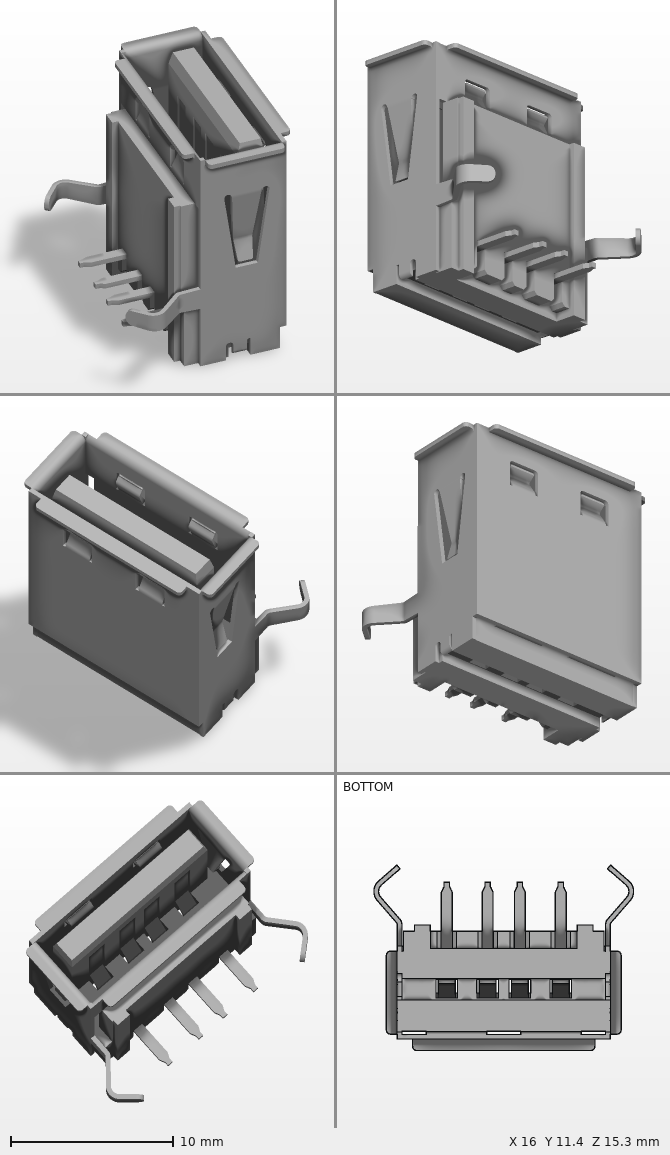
import cadquery as cq
import math


SHEET = 0.3
TOP_Z = 15.26
SHELL_HALF_X = 6.56
SHELL_HALF_Y = 2.86
INNER_HALF_X = SHELL_HALF_X - SHEET
INNER_HALF_Y = SHELL_HALF_Y - SHEET
BACK_WALL_BOTTOM_Z = 1.55
SIDE_WALL_STEP_Y = 2.42

LIP_REACH_X = 7.23
BACK_LIP_REACH_Y = 3.57
FRONT_LIP_REACH_Y = 3.62
LIP_HALF_X = 5.62
LIP_CORNER = 0.27
BEND_INNER = 0.48
BEND_OUTER = BEND_INNER - SHEET

SPRING_Y = 0.22
SPRING_TOP_Z = 12.16
SPRING_BEND_Z = 12.05
SPRING_KINK_Z = 8.38
SPRING_END_Z = 6.96
SPRING_HALF_TOP = 1.0
SPRING_HALF_END = 0.5
SPRING_KINK_DEPTH = 0.67
SPRING_END_DEPTH = 0.2
SPRING_KINK_ROUND = 0.35
SPRING_BEND_ROUND = 1.04
SPRING_END_ROUND = 0.13
SLOT_BOTTOM_Z = 6.72
SLOT_ROUND_Z = 12.03
SLOT_ROUND = 0.24
SLOT_HALF_TOP = 1.5
SLOT_HALF_BOTTOM = 0.74

LATCH_X = 2.8
LATCH_WINDOW_HALF = 1.12
LATCH_WINDOW_TOP_Z = 13.58
LATCH_ROOT_Z = 11.8
LATCH_HALF = 0.91
LATCH_BEND_Z = 11.95
LATCH_KINK_Z = 12.93
LATCH_FLAT_Z = 13.31
LATCH_TIP_Z = 13.44
LATCH_BEND_ROUND = 0.48
LATCH_KINK_ROUND = 0.16
LATCH_TIP_ROUND = 0.11
LATCH_SHEET = 0.18
FRONT_LATCH_DEPTH = 0.34
BACK_LATCH_DEPTH = 0.51

CRIMP_Y = -0.22
CRIMP_HALF = 0.45
CRIMP_RELIEF_FRONT_Y = -1.17
CRIMP_RELIEF_BACK_Y = 0.46
CRIMP_RELIEF_Z = 1.25
CRIMP_BEND_Z = 0.62
CRIMP_BOTTOM_Z = 0.29
CRIMP_CURL = 0.29
CRIMP_SLOT_ROUND = 0.24

CLIP_Z = 5.0
CLIP_HALF_ROOT = 0.74
CLIP_HALF_TIP = 0.53
CLIP_STRAIGHT_Y = -4.25
CLIP_APEX_X = 8.0
CLIP_TIP_Y = -7.85
CLIP_SPREAD = math.radians(41)
CLIP_BEND_OUTER = 0.85
CLIP_FIRST_BEND = 0.24
CLIP_TIP_ROUND = 0.48

BASE_TOP_Z = 5.09
BASE_BACK_Y = 2.38
PAD_X = 2.91
PAD_HALF = 1.87
PAD_TOP_Z = 4.0
PLATE_TOP_Z = 11.52
PLATE_HALF_X = 5.62
PLATE_FRONT_Y = -3.8
FOOT_HALF_X = 6.18
RIB_INNER_X = 4.51
RIB_OUTER_X = 5.5
RIB_FRONT_Y = -4.18
CHANNEL_FRONT_Y = -0.86
CHANNEL_TOP_Z = 0.69

TONGUE_HALF_X = 5.57
TONGUE_FRONT_Y = 0.02
TONGUE_BACK_Y = 1.78
TONGUE_TOP_Z = 15.05
TONGUE_TAPER_Z = 14.2
TONGUE_TAPER_SIDE = 0.18
TONGUE_TAPER_FRONT = 0.2
TONGUE_TAPER_BACK = 0.15

CONTACT_XS = (-3.5, -1.0, 1.0, 3.5)
CONTACT_WIDTH = 1.05
CONTACT_SLOT_WIDTH = 1.31
CONTACT_SLOT_FRONT_Y = -0.8
CONTACT_SLOT_TOP_Z = 12.67
CONTACT_SHEET = 0.24
CONTACT_RECESS = 0.08
CONTACT_BOW_Z = 6.08
CONTACT_SHOULDER_Y = -0.67
CONTACT_SHOULDER_Z = 4.8
CONTACT_FOOT_Z = 4.32
PIN_Z = 2.3
PIN_THICKNESS = 0.34
PIN_WIDTH = 0.69
PIN_TIP_WIDTH = 0.35
PIN_TAPER_START_Y = -6.18
PIN_TAPER_END_Y = -6.53
PIN_END_Y = -6.8
PIN_SLOT_WIDTH = 0.72
PIN_SLOT_TOP_Z = 2.53
PLATE_NOTCH_BACK_Y = -2.72
PLATE_NOTCH_Z = 0.56
PLATE_NOTCH_CHAMFER = 0.24


def block(x0, x1, y0, y1, z0, z1):
    """Box between two corners."""
    return cq.Workplane("XY").box(x1 - x0, y1 - y0, z1 - z0, centered=False).translate((x0, y0, z0))


def slab_x(outline, x0, x1):
    """Extrude a closed (y, z) outline from x0 to x1."""
    return cq.Workplane("YZ").workplane(offset=x0).polyline(outline).close().extrude(x1 - x0)


def slab_y(outline, y0, y1):
    """Extrude a closed (x, z) outline from y0 to y1."""
    return cq.Workplane("XZ").workplane(offset=-y1).polyline(outline).close().extrude(y1 - y0)


def round_edge(body, point, radius):
    """Fillet the edge whose middle lies nearest to the point."""
    return body.edges(cq.selectors.NearestToPointSelector(point)).fillet(radius)


def both_sides(body):
    """Join a body with its mirror image across X = 0."""
    return body.union(body.mirror("YZ"))


def lip_bend(half_length):
    """Material to cut and to add for a rounded bend along X, with the wall's inner face on Y = 0."""
    centre_y = -BEND_INNER
    centre_z = TOP_Z - BEND_INNER
    rod = cq.Workplane("YZ").workplane(offset=-half_length).center(centre_y, centre_z)
    outer_rod = rod.circle(BEND_INNER).extrude(2 * half_length)
    inner_rod = rod.circle(BEND_OUTER).extrude(2 * half_length)
    cut = block(-half_length, half_length, centre_y, 0, centre_z, TOP_Z).cut(outer_rod)
    web = block(-half_length, half_length, centre_y, -SHEET, centre_z, TOP_Z - SHEET).cut(inner_rod)
    return cut, web


def walls_and_lips():
    shell = block(-SHELL_HALF_X, SHELL_HALF_X, -SHELL_HALF_Y, SHELL_HALF_Y, 0, TOP_Z)
    lip_z = TOP_Z - SHEET
    side_lip = block(-LIP_REACH_X, LIP_REACH_X, -INNER_HALF_Y, INNER_HALF_Y, lip_z, TOP_Z)
    cross_lip = block(-LIP_HALF_X, LIP_HALF_X, -FRONT_LIP_REACH_Y, BACK_LIP_REACH_Y, lip_z, TOP_Z)
    for lip in (side_lip, cross_lip):
        shell = shell.union(lip.edges("|Z").fillet(LIP_CORNER))
    shell = shell.cut(block(-INNER_HALF_X, INNER_HALF_X, -INNER_HALF_Y, INNER_HALF_Y, 0, TOP_Z))

    front_cut = lip_bend(INNER_HALF_X)[0].translate((0, -INNER_HALF_Y, 0))
    front_web = lip_bend(LIP_HALF_X)[1].translate((0, -INNER_HALF_Y, 0))
    shell = shell.union(front_web).cut(front_cut)
    side_cut, side_web = lip_bend(INNER_HALF_Y)
    for turn, offset in ((90, INNER_HALF_X), (-90, -INNER_HALF_X)):
        web = side_web.rotate((0, 0, 0), (0, 0, 1), turn).translate((offset, 0, 0))
        cut = side_cut.rotate((0, 0, 0), (0, 0, 1), turn).translate((offset, 0, 0))
        shell = shell.union(web).cut(cut)

    shell = shell.cut(block(-INNER_HALF_X, INNER_HALF_X, -SHELL_HALF_Y, -INNER_HALF_Y, 0, PLATE_TOP_Z))
    return shell.cut(
        block(-SHELL_HALF_X, SHELL_HALF_X, SIDE_WALL_STEP_Y, SHELL_HALF_Y, 0, BACK_WALL_BOTTOM_Z)
    )


def side_spring_slot():
    """Tapered opening in the -X wall with a round relief at each upper corner."""
    x0, x1 = -SHELL_HALF_X, -INNER_HALF_X
    slot = slab_x(
        [
            (SPRING_Y - SLOT_HALF_TOP, SLOT_ROUND_Z),
            (SPRING_Y - SLOT_HALF_BOTTOM, SLOT_BOTTOM_Z),
            (SPRING_Y + SLOT_HALF_BOTTOM, SLOT_BOTTOM_Z),
            (SPRING_Y + SLOT_HALF_TOP, SLOT_ROUND_Z),
        ],
        x0,
        x1,
    )
    slot = slot.union(
        block(x0, x1, SPRING_Y - SPRING_HALF_TOP, SPRING_Y + SPRING_HALF_TOP, SLOT_ROUND_Z, SPRING_TOP_Z)
    )
    for side in (-1, 1):
        y = SPRING_Y + side * (SLOT_HALF_TOP - SLOT_ROUND)
        relief = cq.Workplane("YZ").workplane(offset=x0).center(y, SLOT_ROUND_Z)
        slot = slot.union(relief.circle(SLOT_ROUND).extrude(SHEET))
    return slot


def side_spring():
    """Leaf of the -X wall, bent inward to a kink and back out to its free end."""
    outer = [
        (-SHELL_HALF_X, SPRING_TOP_Z),
        (-SHELL_HALF_X, SPRING_BEND_Z),
        (-SHELL_HALF_X + SPRING_KINK_DEPTH, SPRING_KINK_Z),
        (-SHELL_HALF_X + SPRING_END_DEPTH, SPRING_END_Z),
    ]
    inner = [(x + SHEET, z) for x, z in reversed(outer)]
    leaf = slab_y(outer + inner, SPRING_Y - SPRING_HALF_TOP, SPRING_Y + SPRING_HALF_TOP)
    leaf = round_edge(leaf, (-SHELL_HALF_X, SPRING_Y, SPRING_BEND_Z), SPRING_BEND_ROUND)
    leaf = round_edge(leaf, (-INNER_HALF_X, SPRING_Y, SPRING_BEND_Z), SPRING_BEND_ROUND - SHEET)
    kink_x = -SHELL_HALF_X + SPRING_KINK_DEPTH
    leaf = round_edge(leaf, (kink_x, SPRING_Y, SPRING_KINK_Z), SPRING_KINK_ROUND)
    leaf = round_edge(leaf, (kink_x + SHEET, SPRING_Y, SPRING_KINK_Z), SPRING_KINK_ROUND + SHEET)
    taper = slab_x(
        [
            (SPRING_Y - SPRING_HALF_TOP, SPRING_TOP_Z),
            (SPRING_Y - SPRING_HALF_END, SPRING_END_Z),
            (SPRING_Y + SPRING_HALF_END, SPRING_END_Z),
            (SPRING_Y + SPRING_HALF_TOP, SPRING_TOP_Z),
        ],
        -SHELL_HALF_X,
        0,
    )
    return leaf.intersect(taper.edges("|X and <Z").fillet(SPRING_END_ROUND))


def latch_window():
    """Opening for one latch tab, cut through the front wall at X = 0."""
    window = block(
        -LATCH_WINDOW_HALF, LATCH_WINDOW_HALF, -SHELL_HALF_Y, -INNER_HALF_Y, LATCH_ROOT_Z, LATCH_WINDOW_TOP_Z
    )
    return window.edges("|Y and >Z").fillet(SLOT_ROUND)


def latch_tab(depth):
    """Tab of the front wall at X = 0, bent inward by the given depth and back toward the wall."""
    kink_y = -INNER_HALF_Y + depth
    wall_y = -INNER_HALF_Y - SHEET / 2
    inner = [
        (-INNER_HALF_Y, LATCH_ROOT_Z),
        (-INNER_HALF_Y, LATCH_BEND_Z),
        (kink_y, LATCH_KINK_Z),
        (wall_y + LATCH_SHEET, LATCH_FLAT_Z),
        (wall_y + LATCH_SHEET, LATCH_TIP_Z),
    ]
    outer = [
        (wall_y, LATCH_TIP_Z),
        (wall_y, LATCH_FLAT_Z),
        (kink_y - LATCH_SHEET, LATCH_KINK_Z),
        (-SHELL_HALF_Y, LATCH_BEND_Z),
        (-SHELL_HALF_Y, LATCH_ROOT_Z),
    ]
    tab = slab_x(inner + outer, -LATCH_HALF, LATCH_HALF)
    tab = round_edge(tab, (0, -SHELL_HALF_Y, LATCH_BEND_Z), LATCH_BEND_ROUND)
    tab = round_edge(tab, (0, kink_y - LATCH_SHEET, LATCH_KINK_Z), LATCH_KINK_ROUND)
    tab = round_edge(tab, (0, kink_y, LATCH_KINK_Z), LATCH_KINK_ROUND + LATCH_SHEET)
    return tab.edges("|Y and >Z").fillet(LATCH_TIP_ROUND)


def add_latches(shell):
    for turn, depth in ((0, FRONT_LATCH_DEPTH), (180, BACK_LATCH_DEPTH)):
        for x in (-LATCH_X, LATCH_X):
            window = latch_window().translate((x, 0, 0)).rotate((0, 0, 0), (0, 0, 1), turn)
            tab = latch_tab(depth).translate((x, 0, 0)).rotate((0, 0, 0), (0, 0, 1), turn)
            shell = shell.cut(window).union(tab)
    return shell


def crimp_relief():
    """Two slots at the bottom of the -X wall with the crimp tab, curled inward, between them."""
    x0, x1 = -SHELL_HALF_X, -INNER_HALF_X
    tab_front_y, tab_back_y = CRIMP_Y - CRIMP_HALF, CRIMP_Y + CRIMP_HALF
    front_slot = block(x0, x1, CRIMP_RELIEF_FRONT_Y, tab_front_y, 0, CRIMP_RELIEF_Z)
    front_slot = front_slot.edges("|X and >Z").fillet(CRIMP_SLOT_ROUND)
    back_slot = block(x0, x1, tab_back_y, CRIMP_RELIEF_BACK_Y, 0, CRIMP_RELIEF_Z)
    back_slot = back_slot.edges("|X and >Z and <Y").fillet(CRIMP_SLOT_ROUND / 2)
    gap = block(x0, x1, tab_front_y, tab_back_y, 0, CRIMP_BEND_Z)
    curl = block(x0, x1, tab_front_y, tab_back_y, CRIMP_BOTTOM_Z, CRIMP_BEND_Z)
    curl = curl.edges("|Y and <Z and <X").fillet(CRIMP_CURL)
    return front_slot.union(back_slot).union(gap.cut(curl))


def clip_arm():
    """Board clip on the -X side: straight out of the wall, out to an apex and back in to its tip."""
    slant_x, slant_y = math.sin(CLIP_SPREAD), math.cos(CLIP_SPREAD)
    centre_x = -CLIP_APEX_X + CLIP_BEND_OUTER
    corner_x = centre_x - CLIP_BEND_OUTER * math.sqrt(2) * math.cos(math.pi / 4 - CLIP_SPREAD)
    corner_y = CLIP_STRAIGHT_Y + (corner_x + SHELL_HALF_X) * slant_y / slant_x
    tip_x = corner_x + (corner_y - CLIP_TIP_Y) * slant_y / slant_x
    outer_corner = (corner_x, corner_y)
    inner_corner = (corner_x + SHEET * (slant_x + slant_y), corner_y + SHEET * (slant_y - slant_x))
    first_bend = (-INNER_HALF_X, CLIP_STRAIGHT_Y - SHEET * math.tan(CLIP_SPREAD / 2))
    outline = [
        (-SHELL_HALF_X, -INNER_HALF_Y),
        (-SHELL_HALF_X, CLIP_STRAIGHT_Y),
        outer_corner,
        (tip_x, CLIP_TIP_Y),
        (tip_x + SHEET * slant_x, CLIP_TIP_Y + SHEET * slant_y),
        inner_corner,
        first_bend,
        (-INNER_HALF_X, -INNER_HALF_Y),
    ]
    strip = cq.Workplane("XY").polyline(outline).close().extrude(2 * CLIP_Z)
    bends = (
        (outer_corner, CLIP_BEND_OUTER),
        (inner_corner, CLIP_BEND_OUTER - SHEET),
        ((-SHELL_HALF_X, CLIP_STRAIGHT_Y), CLIP_FIRST_BEND),
        (first_bend, CLIP_FIRST_BEND + SHEET),
    )
    for (x, y), radius in bends:
        strip = round_edge(strip, (x, y, CLIP_Z), radius)

    side_shape = slab_x(
        [
            (-INNER_HALF_Y, CLIP_Z + CLIP_HALF_ROOT),
            (CLIP_TIP_Y, CLIP_Z + CLIP_HALF_TIP),
            (CLIP_TIP_Y, CLIP_Z - CLIP_HALF_TIP),
            (-INNER_HALF_Y, CLIP_Z - CLIP_HALF_ROOT),
        ],
        -CLIP_APEX_X,
        0,
    )
    arm = strip.intersect(side_shape)
    tip_middle = (tip_x + SHEET * slant_x / 2, CLIP_TIP_Y + SHEET * slant_y / 2)
    for side in (-1, 1):
        arm = round_edge(arm, (*tip_middle, CLIP_Z + side * CLIP_HALF_TIP), CLIP_TIP_ROUND)
    return arm


def make_shell():
    shell = walls_and_lips()
    shell = shell.cut(both_sides(side_spring_slot())).cut(both_sides(crimp_relief()))
    shell = add_latches(shell)
    return shell.union(both_sides(side_spring())).union(both_sides(clip_arm()))


def make_tongue():
    """Blade with its upper end tapered on all four sides."""
    profile = [
        (TONGUE_FRONT_Y, BASE_TOP_Z),
        (TONGUE_FRONT_Y, TONGUE_TAPER_Z),
        (TONGUE_FRONT_Y + TONGUE_TAPER_FRONT, TONGUE_TOP_Z),
        (TONGUE_BACK_Y - TONGUE_TAPER_BACK, TONGUE_TOP_Z),
        (TONGUE_BACK_Y, TONGUE_TAPER_Z),
        (TONGUE_BACK_Y, BASE_TOP_Z),
    ]
    top_half = TONGUE_HALF_X - TONGUE_TAPER_SIDE
    front_shape = [
        (-TONGUE_HALF_X, BASE_TOP_Z),
        (-TONGUE_HALF_X, TONGUE_TAPER_Z),
        (-top_half, TONGUE_TOP_Z),
        (top_half, TONGUE_TOP_Z),
        (TONGUE_HALF_X, TONGUE_TAPER_Z),
        (TONGUE_HALF_X, BASE_TOP_Z),
    ]
    blade = slab_x(profile, -TONGUE_HALF_X, TONGUE_HALF_X)
    return blade.intersect(slab_y(front_shape, TONGUE_FRONT_Y, TONGUE_BACK_Y))


def pin_notch(x):
    """Opening in the plate for one pin, flared where it meets the notch along the bottom."""
    half = PIN_SLOT_WIDTH / 2
    flare_half = half + PLATE_NOTCH_CHAMFER
    outline = [
        (x - half, PIN_SLOT_TOP_Z),
        (x - half, PLATE_NOTCH_Z + PLATE_NOTCH_CHAMFER),
        (x - flare_half, PLATE_NOTCH_Z),
        (x + flare_half, PLATE_NOTCH_Z),
        (x + half, PLATE_NOTCH_Z + PLATE_NOTCH_CHAMFER),
        (x + half, PIN_SLOT_TOP_Z),
    ]
    return slab_y(outline, PLATE_FRONT_Y, PLATE_NOTCH_BACK_Y)


def make_housing():
    base = block(-INNER_HALF_X, INNER_HALF_X, -INNER_HALF_Y, BASE_BACK_Y, 0, BASE_TOP_Z)
    pad = block(PAD_X - PAD_HALF, PAD_X + PAD_HALF, BASE_BACK_Y, INNER_HALF_Y, BACK_WALL_BOTTOM_Z, PAD_TOP_Z)
    foot = block(-FOOT_HALF_X, FOOT_HALF_X, PLATE_FRONT_Y, -INNER_HALF_Y, 0, BASE_TOP_Z)
    plate = block(-PLATE_HALF_X, PLATE_HALF_X, PLATE_FRONT_Y, -INNER_HALF_Y, 0, PLATE_TOP_Z)
    rib = block(RIB_INNER_X, RIB_OUTER_X, RIB_FRONT_Y, PLATE_FRONT_Y, 0, PLATE_TOP_Z)
    housing = base.union(both_sides(pad)).union(foot).union(plate).union(both_sides(rib))
    housing = housing.union(make_tongue())

    housing = housing.cut(
        block(-INNER_HALF_X, INNER_HALF_X, CHANNEL_FRONT_Y, CRIMP_RELIEF_BACK_Y, 0, CHANNEL_TOP_Z)
    )
    housing = housing.cut(
        block(-RIB_INNER_X, RIB_INNER_X, PLATE_FRONT_Y, PLATE_NOTCH_BACK_Y, 0, PLATE_NOTCH_Z)
    )
    for x in CONTACT_XS:
        housing = housing.cut(pin_notch(x))
        housing = housing.cut(
            block(
                x - CONTACT_SLOT_WIDTH / 2,
                x + CONTACT_SLOT_WIDTH / 2,
                CONTACT_SLOT_FRONT_Y,
                TONGUE_FRONT_Y + CONTACT_RECESS + CONTACT_SHEET,
                0,
                CONTACT_SLOT_TOP_Z,
            )
        )
    return housing


def make_contact(x):
    """Solder pin through the plate and a spring leaf bowed out of its slot in the tongue."""
    flush_y = TONGUE_FRONT_Y + CONTACT_RECESS
    root_z = PIN_Z - PIN_THICKNESS / 2
    front = [
        (CONTACT_SLOT_FRONT_Y, root_z),
        (CONTACT_SLOT_FRONT_Y, CONTACT_FOOT_Z),
        (CONTACT_SHOULDER_Y, CONTACT_SHOULDER_Z),
        (flush_y, CONTACT_BOW_Z),
        (flush_y, CONTACT_SLOT_TOP_Z),
    ]
    back = [(y + CONTACT_SHEET, z) for y, z in reversed(front)]
    leaf = slab_x(front + back, x - CONTACT_WIDTH / 2, x + CONTACT_WIDTH / 2)

    half, tip_half = PIN_WIDTH / 2, PIN_TIP_WIDTH / 2
    pin = (
        cq.Workplane("XY")
        .workplane(offset=root_z)
        .polyline(
            [
                (x - half, CONTACT_SLOT_FRONT_Y),
                (x - half, PIN_TAPER_START_Y),
                (x - tip_half, PIN_TAPER_END_Y),
                (x - tip_half, PIN_END_Y),
                (x + tip_half, PIN_END_Y),
                (x + tip_half, PIN_TAPER_END_Y),
                (x + half, PIN_TAPER_START_Y),
                (x + half, CONTACT_SLOT_FRONT_Y),
            ]
        )
        .close()
        .extrude(PIN_THICKNESS)
    )
    return leaf.union(pin)


result = make_shell().union(make_housing())
for contact_x in CONTACT_XS:
    result = result.union(make_contact(contact_x))